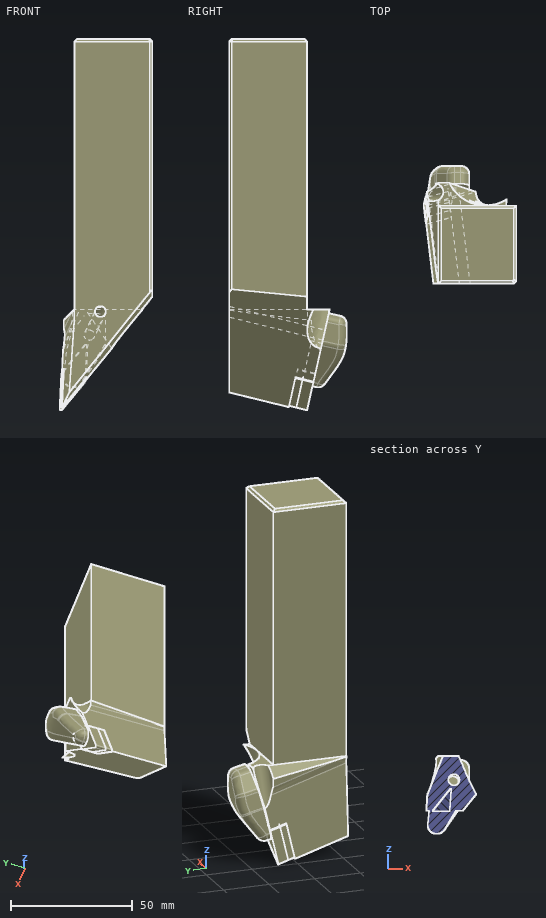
import cadquery as cq
import math


shank_side = 32.0
tool_length = 152.4
top_chamfer = 1.0
edge_chamfer = 1.0
reach = 91.5

side_angle = 4.0
end_angle = 38.8
side_relief = 6.8
end_relief = 13.83
rake_angle = 12.6

head_top = 41.5
rake_start = 32.0
flank_tip = (-2.1, 7.3)
flank_height = 31.4
flank_fillet = (-0.5, 3.2)
trough_top = (19.2, 48.3, 16.3)
trough_bottom = (22.4, 37.6, 5.5)
trough_height = 18.3
cove_center = (-2.1, 37.5)
cove_radius = 3.8
cove_lean = 22.0

hole_center = (10.7, 40.5)
hole_diameter = 4.4

insert_edge = 17.0
insert_thickness = 4.5
seat_thickness = 7.6
insert_proud = 0.23
nose_radius = 0.6

clamp_plan = [
    (4.5, 40.8), (12.6, 40.8), (12.6, 28.2), (1.5, 10.0), (-4.9, 10.0), (-3.4, 25.1), (-1.4, 32.8)
]
clamp_crown = [
    (47.9, 48.8), (48.3, 32.8), (47.1, 22.9), (43.1, 16.0), (37.6, 8.5)
]
clamp_corner_radius = 3.7
clamp_crown_radius = 3.4

relief = cq.Vector(
    -math.tan(math.radians(side_relief)), 1.0, -math.tan(math.radians(end_relief))
)
rake_plane = cq.Plane(
    origin=(0, rake_start, 0),
    xDir=(1, 0, 0),
    normal=(0, math.cos(math.radians(rake_angle)), -math.sin(math.radians(rake_angle))),
)


def point_on_flank(start, angle, length):
    """Point at a given length from start, at an angle from vertical, in X and Z."""
    tilt = math.radians(angle)
    return (start[0] + length * math.sin(tilt), start[1] + length * math.cos(tilt))


def front_sketch():
    """Sketch on the front face with local axes X and Z."""
    return cq.Workplane(cq.Plane(origin=(0, 0, 0), xDir=(1, 0, 0), normal=(0, -1, 0)))


def sweep_along_relief(sketch):
    """Extrude a closed front outline backwards, parallel to both flanks."""
    return cq.Workplane(cq.Solid.extrudeLinear(sketch.wires().val(), [], relief * reach))


def rake_layer(bottom, top):
    """Flat layer between two heights measured from the rake plane."""
    base = cq.Workplane(rake_plane).workplane(offset=bottom)
    return base.rect(4 * reach, 4 * reach).extrude(top - bottom)


def make_shank():
    """Square bar with a chamfered front edge and a chamfered top."""
    shank = cq.Workplane().box(shank_side, shank_side, tool_length, centered=False)
    shank = shank.edges("|Z and >X and <Y").chamfer(edge_chamfer)
    return shank.faces(">Z").edges().chamfer(top_chamfer)


def make_head():
    """Head between the flanks, under the rake plane, with a 45 degree shoulder at the side."""
    flank_end = point_on_flank(flank_tip, side_angle, flank_height)
    flare_end = (flank_end[0] + flank_fillet[0], flank_end[1] + flank_fillet[1])
    outline = (
        front_sketch()
        .moveTo(*flank_tip)
        .lineTo(*flank_end)
        .tangentArcPoint(flare_end, relative=False)
        .lineTo(flare_end[0], reach)
        .lineTo(*point_on_flank(flank_tip, end_angle, reach))
        .close()
    )
    head = sweep_along_relief(outline).intersect(rake_layer(-reach, 0))
    envelope = (
        front_sketch()
        .polyline([(-head_top, 0), (0, head_top), (shank_side, head_top), (shank_side, 0)])
        .close()
        .extrude(-reach)
    )
    return head.intersect(envelope)


def make_trough():
    """Tapered chip trough behind the shank, beside the clamp."""
    top_x, top_y, top_radius = trough_top
    low_x, low_y, low_radius = trough_bottom
    return (
        cq.Workplane("XY", origin=(top_x, top_y, head_top))
        .circle(top_radius)
        .workplane(offset=-trough_height)
        .center(low_x - top_x, low_y - top_y)
        .circle(low_radius)
        .loft(ruled=True)
    )


def make_cove():
    """Leaning round cove at the side of the head."""
    lean = math.radians(cove_lean)
    axis = cq.Vector(-math.sin(lean), 0, -math.cos(lean))
    top = cq.Vector(cove_center[0], cove_center[1], head_top)
    return cq.Workplane(cq.Solid.makeCylinder(cove_radius, reach, top - axis * cove_radius, axis))


def make_end_cut():
    """Everything beyond the sloping end flank."""
    outline = front_sketch().polyline([
        point_on_flank(flank_tip, end_angle, -reach),
        point_on_flank(flank_tip, end_angle, 2 * reach),
        (2 * reach, -reach),
    ]).close()
    return sweep_along_relief(outline)


def make_hole():
    """Screw hole parallel to the flanks, from the front face up to the clamp."""
    hole = sweep_along_relief(front_sketch().center(*hole_center).circle(hole_diameter / 2))
    return hole.intersect(rake_layer(-reach, 0))


def make_seat_rhombus():
    """Sharp rhombic block standing slightly out of both flanks, with its acute corner at the tip."""
    half_nose = (end_angle - side_angle) / 2
    overhang = insert_proud / math.sin(math.radians(half_nose))
    tip = point_on_flank(flank_tip, side_angle + half_nose, -overhang)
    side = point_on_flank(tip, side_angle, insert_edge)
    end = point_on_flank(tip, end_angle, insert_edge)
    far = point_on_flank(side, end_angle, insert_edge)
    return sweep_along_relief(front_sketch().polyline([tip, side, far, end]).close())


def make_seat_layer(bottom, top):
    """Layer of the rhombic block with its nose rounded."""
    rhombus = make_seat_rhombus()
    nose = rhombus.edges(cq.selectors.ParallelDirSelector(relief)).edges("<Z")
    return nose.fillet(nose_radius).intersect(rake_layer(bottom, top))


def make_clamp():
    """Rounded clamp on the rake plane, narrowing over the insert."""
    plan = (
        cq.Workplane(rake_plane)
        .polyline([(x, -height) for x, height in clamp_plan])
        .close()
        .extrude(reach)
        .edges(cq.selectors.ParallelDirSelector(rake_plane.zDir))
        .fillet(clamp_corner_radius)
    )
    below_crown = (
        cq.Workplane("YZ", origin=(-reach, 0, 0))
        .moveTo(*clamp_crown[0])
        .spline(clamp_crown[1:], includeCurrent=True)
        .lineTo(0, 0)
        .lineTo(0, clamp_crown[0][1])
        .close()
        .extrude(2 * reach)
    )
    clamp = plan.intersect(below_crown)
    return clamp.faces("%EXTRUSION").edges().fillet(clamp_crown_radius)


def make_holder():
    """Shank, head, shim and clamp as one body."""
    head = make_head().cut(make_trough()).cut(make_cove())
    pocket = make_seat_rhombus().intersect(rake_layer(-seat_thickness, 0))
    shim = make_seat_layer(-seat_thickness, -insert_thickness)
    holder = make_shank().union(head).cut(make_end_cut()).cut(make_hole()).cut(pocket)
    return holder.union(shim).union(make_clamp())


def make_insert():
    """Cutting insert on top of the shim, flush with the rake plane."""
    return make_seat_layer(-insert_thickness, 0)


holder = make_holder()
insert = make_insert()
result = cq.Compound.makeCompound([holder.solids().val(), insert.solids().val()])